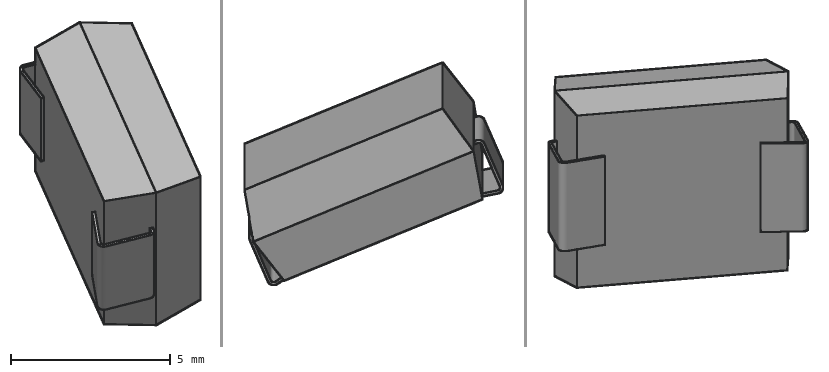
import cadquery as cq
import math

HOUSING_LENGTH = 7.5
HOUSING_HEIGHT = 6.3
HALF_DEPTH = 1.6
END_TAPER = 0.38
SIDE_TAPER = 0.22

OVERALL_LENGTH = 8.0
OVERALL_DEPTH = 3.55
LEAD_WIDTH = 3.0
BEND_OUTER_RADIUS = 0.2
FOOT_ANGLE = math.radians(11.2)
LEAD_EXIT_Y = -0.1

LEAD_THICKNESS = BEND_OUTER_RADIUS / 2
BEND_INNER_RADIUS = BEND_OUTER_RADIUS - LEAD_THICKNESS
BEND_X = OVERALL_LENGTH / 2 - BEND_OUTER_RADIUS
UPPER_BEND_Y = LEAD_EXIT_Y - BEND_OUTER_RADIUS
LOWER_BEND_Y = HALF_DEPTH - OVERALL_DEPTH + BEND_OUTER_RADIUS


def make_housing_half(side):
    """Tapered half from the parting plane to its flat face; side is +1 for +Y, -1 for -Y."""
    return (
        cq.Workplane("XZ")
        .rect(HOUSING_LENGTH, HOUSING_HEIGHT)
        .workplane(offset=-side * HALF_DEPTH)
        .rect(HOUSING_LENGTH - 2 * END_TAPER, HOUSING_HEIGHT - 2 * SIDE_TAPER)
        .loft(ruled=True)
    )


def bend_point(center_y, radius, angle):
    """Point on a bend of the +X lead, at an angle measured from the +X direction."""
    return (BEND_X + radius * math.cos(angle), center_y + radius * math.sin(angle))


def make_right_lead(housing):
    """Strip that leaves the +X end, bends down along it and folds back under the housing."""
    foot_start = -math.pi / 2 - FOOT_ANGLE
    inner_foot = bend_point(LOWER_BEND_Y, BEND_INNER_RADIUS, foot_start)
    outer_foot = bend_point(LOWER_BEND_Y, BEND_OUTER_RADIUS, foot_start)

    foot_length = (-HALF_DEPTH - inner_foot[1]) / math.sin(FOOT_ANGLE)
    foot_run = (-foot_length * math.cos(FOOT_ANGLE), foot_length * math.sin(FOOT_ANGLE))
    inner_tip = (inner_foot[0] + foot_run[0], inner_foot[1] + foot_run[1])
    outer_tip = (outer_foot[0] + foot_run[0], outer_foot[1] + foot_run[1])

    root_x = HOUSING_LENGTH / 2 - END_TAPER
    upper_mid = math.pi / 4
    lower_mid = foot_start / 2
    strip = (
        cq.Workplane("XY")
        .moveTo(root_x, LEAD_EXIT_Y)
        .lineTo(BEND_X, LEAD_EXIT_Y)
        .threePointArc(
            bend_point(UPPER_BEND_Y, BEND_OUTER_RADIUS, upper_mid),
            bend_point(UPPER_BEND_Y, BEND_OUTER_RADIUS, 0),
        )
        .lineTo(*bend_point(LOWER_BEND_Y, BEND_OUTER_RADIUS, 0))
        .threePointArc(bend_point(LOWER_BEND_Y, BEND_OUTER_RADIUS, lower_mid), outer_foot)
        .lineTo(*outer_tip)
        .lineTo(*inner_tip)
        .lineTo(*inner_foot)
        .threePointArc(
            bend_point(LOWER_BEND_Y, BEND_INNER_RADIUS, lower_mid),
            bend_point(LOWER_BEND_Y, BEND_INNER_RADIUS, 0),
        )
        .lineTo(*bend_point(UPPER_BEND_Y, BEND_INNER_RADIUS, 0))
        .threePointArc(
            bend_point(UPPER_BEND_Y, BEND_INNER_RADIUS, upper_mid),
            (BEND_X, LEAD_EXIT_Y - LEAD_THICKNESS),
        )
        .lineTo(root_x, LEAD_EXIT_Y - LEAD_THICKNESS)
        .close()
        .extrude(LEAD_WIDTH / 2, both=True)
    )
    return strip.cut(housing)


def make_leads(housing):
    """Two mirrored leads, one at each end of the housing."""
    right_lead = make_right_lead(housing)
    return [right_lead, right_lead.mirror("YZ")]


back_half = make_housing_half(1)
front_half = make_housing_half(-1)
leads = make_leads(front_half)

result = cq.Compound.makeCompound([back_half.val(), front_half.val(), *(lead.val() for lead in leads)])